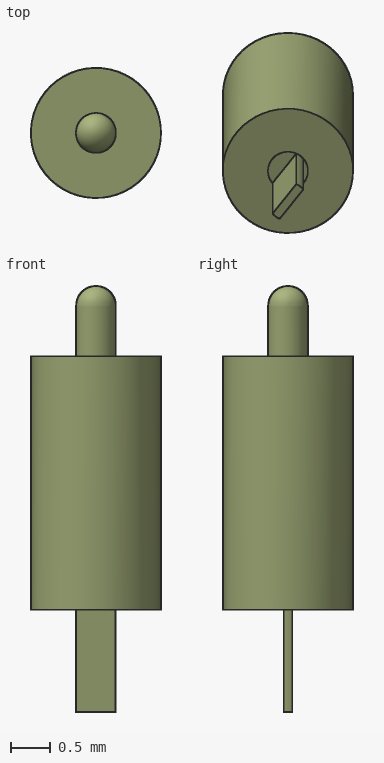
import cadquery as cq

barrel_diameter = 1.63
barrel_length = 3.17
pin_diameter = 0.5
tip_length = 0.88
overall_length = 5.33
tail_thickness = 0.11

pin_radius = pin_diameter / 2
tip_top = barrel_length + tip_length
tail_length = overall_length - tip_top


def make_barrel():
    """Cylindrical barrel with a through bore that the pin fills."""
    return (
        cq.Workplane("XY")
        .circle(barrel_diameter / 2)
        .circle(pin_radius)
        .extrude(barrel_length)
    )


def make_pin_rod():
    """Round rod of the full overall length with a hemispherical tip at the top."""
    return (
        cq.Workplane("XY", origin=(0, 0, -tail_length))
        .circle(pin_radius)
        .extrude(overall_length - pin_radius)
        .union(cq.Workplane("XY").sphere(pin_radius).translate((0, 0, tip_top - pin_radius)))
    )


def make_flat_cutter(side):
    """Block that flattens the rod below the barrel on one Y side (side is 1 or -1)."""
    block_size = 2 * pin_diameter
    block_center = side * (tail_thickness + block_size) / 2
    return (
        cq.Workplane("XY")
        .center(0, block_center)
        .rect(block_size, block_size)
        .extrude(-tail_length)
    )


def make_pin():
    """Pin through the barrel: round tip above, flattened solder tail below."""
    pin = make_pin_rod()
    for side in (-1, 1):
        pin = pin.cut(make_flat_cutter(side))
    return pin


barrel = make_barrel()
pin = make_pin()

result = cq.Compound.makeCompound([barrel.val(), pin.solids().val()])